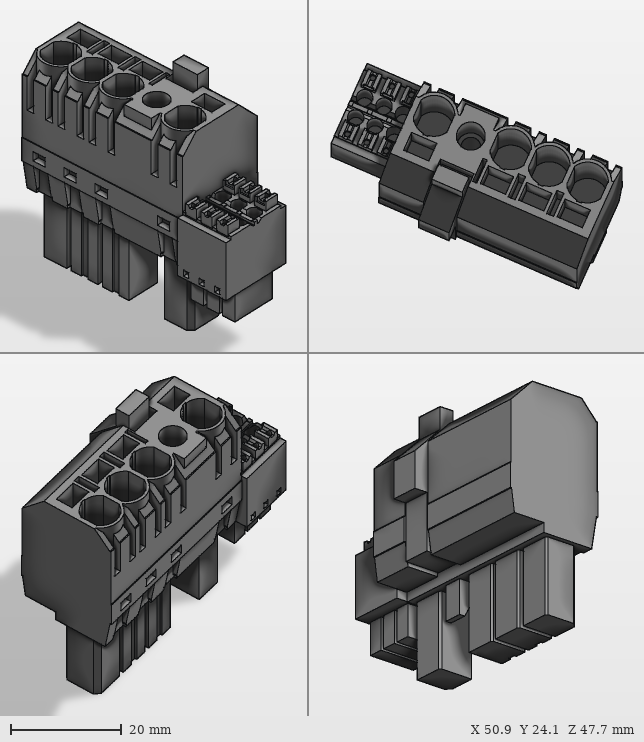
import cadquery as cq


pole_pitch = 7.6
first_pole_x = 4.25
screw_x = first_pole_x + 3 * pole_pitch
pole_xs = [first_pole_x + i * pole_pitch for i in (0, 1, 2, 4)]

power_length = 39.05
power_top = 44.75
front_y = 1.2
rear_y = 21.35
front_chamfer_top_y = 4.95
front_chamfer_bottom_y = 1.45
front_chamfer_bottom_z = 41.05
rear_chamfer = 5.0
band_bottom = 22.15
band_top = 27.25
band_height = 0.15
skirt_bottom = 15.45
skirt_step_z = 17.45
skirt_step_y = 13.75
skirt_front_top_y = 1.4
skirt_front_bottom_y = 2.55
skirt_rear_top_y = 21.25
skirt_rear_bottom_y = 20.6

funnel_y = 6.9
wire_hole_radius = 3.75
wire_hole_width = 6.65
wire_hole_depth = 15.25
wire_key_width = 0.9
wire_key_depth = 0.15
funnel_radius = 4.35
side_slot_inner = 1.45
side_slot_outer = 3.1
side_slot_bottom = 33.7

screw_y = 7.65
screw_hole_radius = 1.8
screw_head_radius = 2.6
screw_head_depth = 10.15
screw_block_front_y = 2.55

test_pocket_width = 5.0
test_pocket_front_y = 11.35
test_pocket_rear_y = 14.9
test_pocket_depth = 7.65
relief_width = 1.35
relief_front_y = 10.45
relief_rear_y = 15.1
relief_depth = 7.65
relief_end_x = 23.35

window_width = 2.95
window_bottom = 23.4
window_top = 25.4
window_depth = 1.25
recess_width = 3.5
recess_floor_y = 3.15
recess_foot_width = 3.85
recess_foot_top = 16.25

plug_width = 6.5
plug_front_y = 4.95
outer_plug_rear_y = 12.3
inner_plug_rear_y = 12.6
plug_chamfer = 1.0
plug_rear_chamfer = 0.4
plug_groove_width = 1.6
plug_groove_depth = 0.45

hook_width = 3.9
hook_front_y = 10.15
hook_rear_y = 12.85
hook_bottom = 8.35
hook_slope_top = 11.1
hook_tip_y = 11.7

latch_width = 6.0
latch_clearance = 0.3
latch_front_y = skirt_step_y
latch_bottom = 18.1
latch_step_y = 15.25
latch_step_z = 40.65
latch_head_rear_y = 18.25
latch_top = 47.7
latch_rear_y = 24.15
latch_slope_top_z = 43.1
latch_slope_bottom_z = latch_slope_top_z - (latch_rear_y - latch_head_rear_y)
latch_pad_bottom = 29.75

overall_length = 50.85
signal_length = overall_length - power_length
signal_depth = 16.05
signal_middle_y = signal_depth / 2
signal_bottom = 15.6
ledge_z = 28.25
ledge_depth = 1.35
deck_z = 28.95
signal_pitch = 3.8
first_signal_x = 41.05
signal_xs = [first_signal_x + i * signal_pitch for i in range(3)]
signal_hole_radius = 1.45
signal_hole_offset = 2.0
signal_hole_depth = 7.65
divider_thickness = 0.85
divider_notch_depth = 0.15
ramp_depth = 0.7
ramp_length = 0.7
ramp_floor_length = 0.3
signal_pin_width = 3.05
signal_pin_front_y = 3.1
signal_pin_rear_y = 13.1
signal_pin_bottom = 9.0
signal_window_width = 1.2
signal_window_bottom = 16.15
signal_window_top = 17.45
signal_window_depth = 1.0

lever_width = 2.75
lever_front_y = ledge_depth
lever_rear_y = 4.5
lever_bottom = 28.55
lever_top = 31.0
lever_groove_top_width = 1.25
lever_groove_floor_width = 0.65
lever_groove_depth = 0.55
lever_hole_radius = 0.55
lever_hole_y = 2.4
lever_hole_depth = 1.5
lever_notch_width = 1.95
lever_notch_length = 0.35
lever_notch_depth = 1.0


def box(x0, x1, y0, y1, z0, z1):
    """Box between two corners."""
    return cq.Workplane("XY").box(x1 - x0, y1 - y0, z1 - z0, centered=False).translate((x0, y0, z0))


def centred_box(x, width, y0, y1, z0, z1):
    """Box whose X range is centred on x."""
    return box(x - width / 2, x + width / 2, y0, y1, z0, z1)


def cylinder(x, y, radius, z0, z1):
    """Upright cylinder."""
    return cq.Workplane("XY", origin=(x, y, z0)).circle(radius).extrude(z1 - z0)


def side_profile(points, x0, length):
    """Prism along X from an outline of (y, z) points."""
    return cq.Workplane("YZ", origin=(x0, 0, 0)).polyline(points).close().extrude(length)


def power_body():
    """Long body with chamfered shoulders, a raised band and a tapered skirt."""
    outline = [
        (front_chamfer_top_y, power_top),
        (front_chamfer_bottom_y, front_chamfer_bottom_z),
        (front_y, front_chamfer_bottom_z),
        (front_y, band_top),
        (front_y - band_height, band_top),
        (front_y - band_height, band_bottom),
        (skirt_front_top_y, band_bottom),
        (skirt_front_bottom_y, skirt_bottom),
        (skirt_step_y, skirt_bottom),
        (skirt_step_y, skirt_step_z),
        (skirt_rear_bottom_y, skirt_step_z),
        (skirt_rear_top_y, band_bottom),
        (rear_y + band_height, band_bottom),
        (rear_y + band_height, band_top),
        (rear_y, band_top),
        (rear_y, power_top - rear_chamfer),
        (rear_y - rear_chamfer, power_top),
    ]
    return side_profile(outline, 0, power_length)


def wire_hole(x):
    """Round hole flattened on its two sides, with a shallow key groove at the rear."""
    floor_z = power_top - wire_hole_depth
    bore = cylinder(x, funnel_y, wire_hole_radius, floor_z, power_top)
    flats = centred_box(
        x, wire_hole_width, funnel_y - wire_hole_radius, funnel_y + wire_hole_radius, floor_z, power_top
    )
    key = centred_box(
        x, wire_key_width, funnel_y, funnel_y + wire_hole_radius + wire_key_depth, floor_z, power_top
    )
    return bore.intersect(flats).union(key)


def add_funnel(body, x):
    """Funnel tube standing out of the front chamfer, with a slot on each side of its front pad."""
    envelope = box(0, power_length, 0, rear_y, side_slot_bottom, power_top)
    funnel = cylinder(x, funnel_y, funnel_radius, side_slot_bottom, power_top).intersect(envelope)
    slot_width = side_slot_outer - side_slot_inner
    slot_offset = (side_slot_outer + side_slot_inner) / 2
    for side in (-1, 1):
        slot = centred_box(
            x + side * slot_offset, slot_width, 0, funnel_y, side_slot_bottom, power_top
        )
        body = body.cut(slot.cut(funnel))
    return body.union(funnel)


def cut_pole_details(body, x):
    """Wire hole and test pocket on top, window in the band and recess in the skirt of one pole."""
    pocket = centred_box(
        x, test_pocket_width, test_pocket_front_y, test_pocket_rear_y,
        power_top - test_pocket_depth, power_top,
    )
    window = centred_box(x, window_width, 0, front_y + window_depth, window_bottom, window_top)
    recess = centred_box(x, recess_width, 0, recess_floor_y, skirt_bottom, band_bottom)
    foot = centred_box(x, recess_foot_width, 0, recess_floor_y, skirt_bottom, recess_foot_top)
    for cutter in (wire_hole(x), pocket, window, recess, foot):
        body = body.cut(cutter)
    return body


def cut_relief_slots(body):
    """Narrow slots between neighbouring test pockets."""
    for x in pole_xs[:3]:
        x0 = x + (pole_pitch - relief_width) / 2
        x1 = min(x0 + relief_width, relief_end_x)
        slot = box(x0, x1, relief_front_y, relief_rear_y, power_top - relief_depth, power_top)
        body = body.cut(slot)
    return body


def plug(x, back_y):
    """Plain contact plug below one pole, with its rear left edge chamfered."""
    blank = centred_box(x, plug_width, plug_front_y, back_y, 0, skirt_bottom)
    return blank.edges("|Z and <X and >Y").chamfer(plug_rear_chamfer)


def plugs():
    """Four plugs: the outer two have a chamfered outer edge, the inner two a front groove."""
    first_x, second_x, third_x, last_x = pole_xs
    parts = [
        plug(first_x, outer_plug_rear_y).edges("|Z and <X and <Y").chamfer(plug_chamfer),
        plug(last_x, outer_plug_rear_y).edges("|Z and >X and <Y").chamfer(plug_chamfer),
    ]
    for x in (second_x, third_x):
        groove = centred_box(
            x, plug_groove_width, plug_front_y, plug_front_y + plug_groove_depth, 0, skirt_bottom
        )
        parts.append(plug(x, inner_plug_rear_y).cut(groove))
    return parts


def hook():
    """Tongue with a sloped lower front, below the screw position."""
    outline = [
        (hook_front_y, skirt_bottom),
        (hook_front_y, hook_slope_top),
        (hook_tip_y, hook_bottom),
        (hook_rear_y, hook_bottom),
        (hook_rear_y, skirt_bottom),
    ]
    return side_profile(outline, screw_x - hook_width / 2, hook_width)


def latch_slot():
    """Slot open to the rear, the top and the bottom."""
    width = latch_width + 2 * latch_clearance
    return centred_box(screw_x, width, latch_front_y, latch_rear_y, 0, latch_top)


def screw_block():
    """Block squaring off the front chamfer in front of the screw."""
    width = latch_width + 2 * latch_clearance
    return centred_box(
        screw_x, width, screw_block_front_y, front_chamfer_top_y, front_chamfer_bottom_z, power_top
    )


def power_section():
    body = power_body()
    for x in pole_xs:
        body = add_funnel(body, x)
    for x in pole_xs:
        body = cut_pole_details(body, x)
    body = cut_relief_slots(body)
    body = body.union(screw_block())
    body = body.cut(latch_slot())
    body = body.cut(cylinder(screw_x, screw_y, screw_hole_radius, 0, power_top))
    head = cylinder(screw_x, screw_y, screw_head_radius, power_top - screw_head_depth, power_top)
    body = body.cut(head)
    for part in plugs():
        body = body.union(part)
    return body.union(hook())


def on_both_sides(front_part):
    """The part and its mirror image across the middle of the signal block."""
    mirrored = front_part.mirror("XZ", (0, signal_middle_y, 0))
    return [front_part, mirrored]


def signal_ramp():
    """Groove along X whose floor slopes down and then runs level to the central divider."""
    divider_y = signal_middle_y - divider_thickness / 2
    outline = [
        (divider_y - ramp_floor_length - ramp_length, deck_z),
        (divider_y, deck_z),
        (divider_y, deck_z - ramp_depth),
        (divider_y - ramp_floor_length, deck_z - ramp_depth),
    ]
    return side_profile(outline, power_length, signal_length)


def signal_section():
    body = box(power_length, overall_length, 0, signal_depth, signal_bottom, ledge_z)
    deck = box(power_length, overall_length, ledge_depth, signal_depth - ledge_depth, ledge_z, deck_z)
    body = body.union(deck)
    for ramp in on_both_sides(signal_ramp()):
        body = body.cut(ramp)
    for x in signal_xs:
        hole_y = signal_middle_y - signal_hole_offset
        hole = cylinder(x, hole_y, signal_hole_radius, deck_z - signal_hole_depth, deck_z)
        seat = centred_box(x, lever_width, lever_front_y, lever_rear_y, lever_bottom, deck_z)
        for cutter in on_both_sides(hole) + on_both_sides(seat):
            body = body.cut(cutter)
        divider_notch = centred_box(
            x, 2 * signal_hole_radius,
            signal_middle_y - divider_thickness / 2, signal_middle_y + divider_thickness / 2,
            deck_z - divider_notch_depth, deck_z,
        )
        window = centred_box(
            x, signal_window_width, 0, signal_window_depth, signal_window_bottom, signal_window_top
        )
        body = body.cut(divider_notch).cut(window)
        pin = centred_box(
            x, signal_pin_width, signal_pin_front_y, signal_pin_rear_y, signal_pin_bottom, signal_bottom
        )
        body = body.union(pin)
    return body


def front_lever(x):
    """Release lever with a tapered groove, a hole and a notch at its inner end."""
    lever = centred_box(x, lever_width, lever_front_y, lever_rear_y, lever_bottom, lever_top)
    groove_floor = lever_top - lever_groove_depth
    groove = (
        cq.Workplane("XZ", origin=(x, lever_rear_y, 0))
        .polyline([
            (-lever_groove_top_width / 2, lever_top),
            (-lever_groove_floor_width / 2, groove_floor),
            (lever_groove_floor_width / 2, groove_floor),
            (lever_groove_top_width / 2, lever_top),
        ])
        .close()
        .extrude(lever_rear_y - lever_front_y)
    )
    hole = cylinder(x, lever_hole_y, lever_hole_radius, lever_top - lever_hole_depth, lever_top)
    notch = centred_box(
        x, lever_notch_width, lever_rear_y - lever_notch_length, lever_rear_y,
        lever_top - lever_notch_depth, lever_top,
    )
    return lever.cut(groove).cut(hole).cut(notch)


def latch():
    """Latch arm with a raised head, a sloped back and a finger pad."""
    outline = [
        (latch_front_y, latch_bottom),
        (latch_front_y, latch_step_z),
        (latch_step_y, latch_step_z),
        (latch_step_y, latch_top),
        (latch_head_rear_y, latch_top),
        (latch_head_rear_y, latch_slope_top_z),
        (latch_rear_y, latch_slope_bottom_z),
        (latch_rear_y, latch_pad_bottom),
        (rear_y, latch_pad_bottom),
        (rear_y, latch_bottom),
    ]
    return side_profile(outline, screw_x - latch_width / 2, latch_width)


housing = power_section().union(signal_section())
latch_arm = latch()
levers = []
for lever_x in signal_xs:
    levers.extend(on_both_sides(front_lever(lever_x)))

result = cq.Compound.makeCompound([
    housing.solids().val(),
    latch_arm.solids().val(),
    *[lever.solids().val() for lever in levers],
])